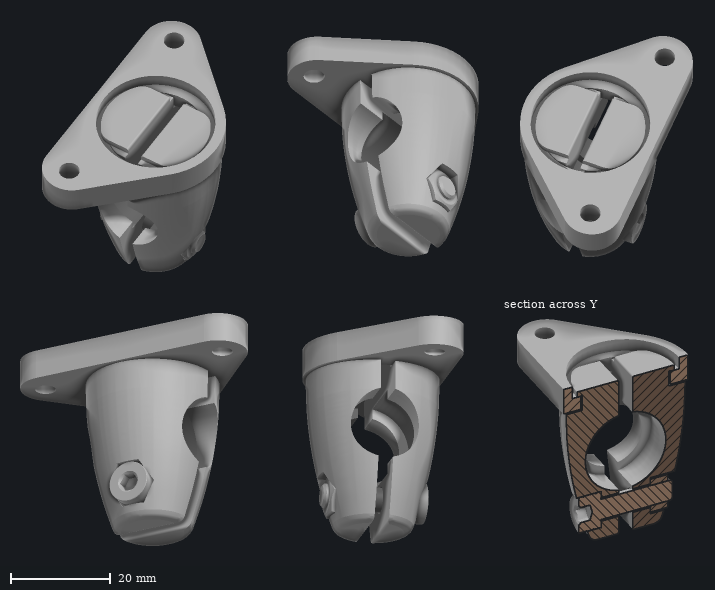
import cadquery as cq
import math

PLATE_THICKNESS = 6.0
PLATE_BACK = 14.0
NOSE_RADIUS = 14.1
EAR_RADIUS = 6.0
EAR_X = EAR_RADIUS - PLATE_BACK
EAR_Y = 19.0
MOUNT_HOLE_DIAMETER = 4.15
MOUNT_HOLE_Y = 20.0
RECESS_DIAMETER = 24.0
RECESS_DEPTH = 2.75
NECK_HOLE_DIAMETER = 20.0

TOTAL_HEIGHT = 38.3
SLOT_WIDTH = 3.0
SHOULDER_GAP = 0.2
SHOULDER_Z = -PLATE_THICKNESS - SHOULDER_GAP
SHOULDER_RADIUS = 13.45
FLANK_RADIUS = 92.95
BOTTOM_FILLET = 2.0
INNER_FILLET = 0.5
BAR_HOLE_DIAMETER = 14.0
BAR_HOLE_Z = -18.9
BAR_GROOVE_DIAMETER = 18.0
BAR_GROOVE_LENGTH = 12.7
HEAD_RADIUS = 11.0
HEAD_HALF_DEPTH = 8.0
HEAD_CORNER_RADIUS = 3.5
HEAD_HEIGHT = 1.25
NECK_RADIUS = 9.8
NECK_HALF_DEPTH = 9.2
HEAD_BOTTOM_Z = -RECESS_DEPTH
HEAD_TOP_Z = HEAD_BOTTOM_Z + HEAD_HEIGHT

SCREW_Z = -31.3
SCREW_DIAMETER = 5.0
SCREW_HOLE_DIAMETER = 5.5
SCREW_REACH = 10.55
SCREW_TIP_CHAMFER = 0.5
SCREW_HEAD_DIAMETER = 8.5
SCREW_HEAD_HEIGHT = 5.0
SCREW_HEAD_CHAMFER = 0.1
SOCKET_WIDTH = 3.5
SOCKET_DEPTH = 2.5
SOCKET_CONE_DEPTH = 0.5
SOCKET_RIM_DIAMETER = 4.5
SOCKET_RIM_DEPTH = 0.5
POCKET_FLOOR = SCREW_REACH - SCREW_HEAD_HEIGHT
NUT_WIDTH = 8.0
NUT_HEIGHT = 4.0
NUT_FACE_DIAMETER = 7.2
NUT_CHAMFER_ANGLE = 30.0


def corner_diameter(across_flats):
    """Diameter across the corners of a hexagon."""
    return across_flats / math.cos(math.radians(30))


def screw_axis_plane(x):
    """Plane across the screw axis at x, with local X along Y and its normal along +X."""
    return cq.Workplane(cq.Plane((x, 0, SCREW_Z), (0, 1, 0), (1, 0, 0)))


def make_screw_axis_cone(x, start_diameter, end_diameter, length):
    """Cone on the screw axis that starts at x and runs towards +X."""
    cone = cq.Solid.makeCone(
        start_diameter / 2,
        end_diameter / 2,
        length,
        pnt=cq.Vector(x, 0, SCREW_Z),
        dir=cq.Vector(1, 0, 0),
    )
    return cq.Workplane(cone)


def make_plate():
    """Flange with a recess for the jaw heads, a neck hole and two mounting holes."""
    tangent_angle = math.atan2(EAR_Y, EAR_X) - math.acos(
        (NOSE_RADIUS - EAR_RADIUS) / math.hypot(EAR_X, EAR_Y)
    )
    normal_x = math.cos(tangent_angle)
    normal_y = math.sin(tangent_angle)
    nose_end = (NOSE_RADIUS * normal_x, NOSE_RADIUS * normal_y)
    ear_start = (EAR_X + EAR_RADIUS * normal_x, EAR_Y + EAR_RADIUS * normal_y)

    plate = (
        cq.Workplane("XY")
        .workplane(offset=-PLATE_THICKNESS)
        .moveTo(nose_end[0], -nose_end[1])
        .threePointArc((NOSE_RADIUS, 0), nose_end)
        .lineTo(*ear_start)
        .threePointArc((EAR_X, EAR_Y + EAR_RADIUS), (-PLATE_BACK, EAR_Y))
        .lineTo(-PLATE_BACK, -EAR_Y)
        .threePointArc((EAR_X, -EAR_Y - EAR_RADIUS), (ear_start[0], -ear_start[1]))
        .close()
        .extrude(PLATE_THICKNESS)
    )
    mount_holes = [(EAR_X, -MOUNT_HOLE_Y), (EAR_X, MOUNT_HOLE_Y)]
    plate = plate.faces(">Z").workplane(origin=(0, 0, 0)).pushPoints(mount_holes).hole(MOUNT_HOLE_DIAMETER)
    return plate.faces(">Z").workplane(origin=(0, 0, 0)).cboreHole(
        NECK_HOLE_DIAMETER, RECESS_DIAMETER, RECESS_DEPTH
    )


def make_barrel():
    """Revolved body below the flange, with a curved flank and a rounded bottom edge."""

    def flank_radius_at(z):
        drop = SHOULDER_Z - z
        return SHOULDER_RADIUS - FLANK_RADIUS + math.sqrt(FLANK_RADIUS**2 - drop**2)

    middle_z = (SHOULDER_Z - TOTAL_HEIGHT) / 2
    return (
        cq.Workplane("XZ")
        .moveTo(0, -TOTAL_HEIGHT)
        .lineTo(flank_radius_at(-TOTAL_HEIGHT), -TOTAL_HEIGHT)
        .threePointArc((flank_radius_at(middle_z), middle_z), (SHOULDER_RADIUS, SHOULDER_Z))
        .lineTo(0, SHOULDER_Z)
        .close()
        .revolve(360, (0, 0), (0, 1))
        .faces("<Z")
        .edges()
        .fillet(BOTTOM_FILLET)
    )


def make_flatted_disc(radius, half_depth, bottom_z, top_z):
    """Disc about the Z axis with flats at Y = +/- half_depth."""
    height = top_z - bottom_z
    disc = cq.Workplane("XY").workplane(offset=bottom_z).circle(radius).extrude(height)
    slab = cq.Workplane("XY").workplane(offset=bottom_z).rect(2 * radius, 2 * half_depth).extrude(height)
    return disc.intersect(slab)


def make_bar_cutter(diameter, length):
    """Cylinder along Y on the bar axis, centred on the jaw axis."""
    return cq.Workplane("XZ").center(0, BAR_HOLE_Z).circle(diameter / 2).extrude(length / 2, both=True)


def make_jaw():
    """The jaw on the -X side, holding a hexagonal pocket for the screw head or the nut."""
    head = make_flatted_disc(HEAD_RADIUS, HEAD_HALF_DEPTH, HEAD_BOTTOM_Z, HEAD_TOP_Z)
    head = head.edges("|Z").fillet(HEAD_CORNER_RADIUS)
    neck = make_flatted_disc(NECK_RADIUS, NECK_HALF_DEPTH, SHOULDER_Z, HEAD_BOTTOM_Z)
    body = make_barrel().union(neck).union(head)

    slot_side = (
        cq.Workplane("XY")
        .box(2 * SHOULDER_RADIUS, 2 * SHOULDER_RADIUS, TOTAL_HEIGHT + HEAD_TOP_Z, centered=(True, True, False))
        .translate((-SHOULDER_RADIUS - SLOT_WIDTH / 2, 0, -TOTAL_HEIGHT))
        .edges("|Y and >X")
        .fillet(INNER_FILLET)
    )
    jaw = body.intersect(slot_side)

    bar_hole = make_bar_cutter(BAR_HOLE_DIAMETER, 2 * SHOULDER_RADIUS)
    bar_groove = make_bar_cutter(BAR_GROOVE_DIAMETER, BAR_GROOVE_LENGTH)
    screw_hole = screw_axis_plane(-SHOULDER_RADIUS).circle(SCREW_HOLE_DIAMETER / 2).extrude(SHOULDER_RADIUS)
    pocket = (
        screw_axis_plane(-SHOULDER_RADIUS)
        .polygon(6, corner_diameter(SCREW_HEAD_DIAMETER))
        .extrude(SHOULDER_RADIUS - POCKET_FLOOR)
    )
    return jaw.cut(bar_hole).cut(bar_groove).cut(screw_hole).cut(pocket)


def make_screw():
    """Socket head screw with its head on the -X side."""
    shank = (
        screw_axis_plane(-POCKET_FLOOR)
        .circle(SCREW_DIAMETER / 2)
        .extrude(POCKET_FLOOR + SCREW_REACH)
        .faces(">X")
        .chamfer(SCREW_TIP_CHAMFER)
    )
    head = screw_axis_plane(-SCREW_REACH).circle(SCREW_HEAD_DIAMETER / 2).extrude(SCREW_HEAD_HEIGHT)
    head = head.faces("<X").chamfer(SCREW_HEAD_CHAMFER)
    socket = screw_axis_plane(-SCREW_REACH).polygon(6, corner_diameter(SOCKET_WIDTH)).extrude(SOCKET_DEPTH)
    socket_tip = make_screw_axis_cone(SOCKET_DEPTH - SCREW_REACH, SOCKET_WIDTH, 0, SOCKET_CONE_DEPTH)
    socket_rim = make_screw_axis_cone(-SCREW_REACH, SOCKET_RIM_DIAMETER, SOCKET_WIDTH, SOCKET_RIM_DEPTH)
    return head.union(shank).cut(socket).cut(socket_tip).cut(socket_rim)


def make_nut():
    """Hexagon nut in the +X pocket, its outer corners chamfered."""
    nut = (
        screw_axis_plane(POCKET_FLOOR)
        .polygon(6, corner_diameter(NUT_WIDTH))
        .circle(SCREW_DIAMETER / 2)
        .extrude(NUT_HEIGHT)
    )
    base_diameter = NUT_FACE_DIAMETER + 2 * NUT_HEIGHT / math.tan(math.radians(NUT_CHAMFER_ANGLE))
    chamfer_cone = make_screw_axis_cone(POCKET_FLOOR, base_diameter, NUT_FACE_DIAMETER, NUT_HEIGHT)
    return nut.intersect(chamfer_cone)


plate = make_plate()
jaws = [make_jaw().rotate((0, 0, 0), (0, 0, 1), angle) for angle in (0, 180)]
screw = make_screw()
nut = make_nut()

result = cq.Compound.makeCompound([plate.val(), *[jaw.val() for jaw in jaws], screw.val(), nut.val()])